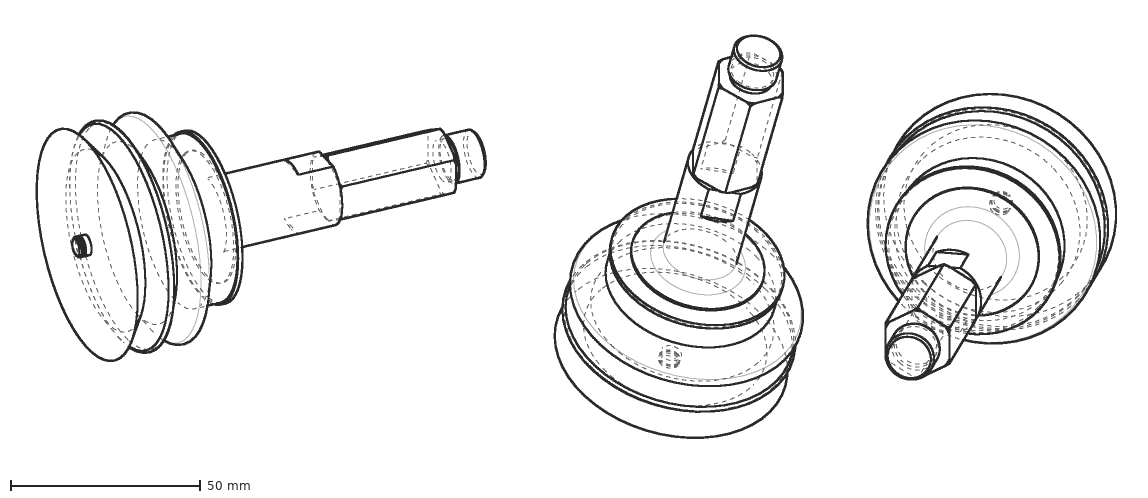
import cadquery as cq
import math


LIP_Y = 3.3
LOWER_NECK_Y = 8.7
LOWER_FOLD_Y = (12.6, 14.3)
UPPER_NECK_Y = 17.9
UPPER_FOLD_Y = (22.1, 24.6)
COLLAR_Y = 28.8
FLANGE_Y = 36.4
FLANGE_TOP_Y = 37.7
DISC_TOP_Y = 38.3
SHAFT_END_Y = 73.2
HEX_END_Y = 107.0
THREAD_Y = 109.1
STEM_END_Y = 117.0

CUP_RADIUS = 63.0 / 2
FOLD_EDGE_RADIUS = 30.8
NECK_RADIUS = 24.8
COLLAR_RADIUS = 46.0 / 2
FLANGE_RADIUS = 47.0 / 2
DISC_RADIUS = 36.0 / 2

PIN_RADIUS = 5.6 / 2
PIN_CHAMFER = 0.5
PIN_GROOVE_Y = (1.2, 1.6)
PIN_GROOVE_DEPTH = 0.1

SHAFT_RADIUS = 20.0 / 2
SHAFT_FILLET = 2.8
WRENCH_FLATS = 18.0
WRENCH_FLAT_LENGTH = 10.2
HEX_FLATS = 17.3
HEX_CHAMFER = 0.6
RELIEF_RADIUS = 11.5 / 2
THREAD_RADIUS = 13.1 / 2
THREAD_CHAMFER = 0.7


def cylinder(radius, start, end):
    """Cylinder about the Y axis between two positions."""
    plane = cq.Plane(origin=(0, start, 0), xDir=(1, 0, 0), normal=(0, 1, 0))
    return cq.Workplane(plane).circle(radius).extrude(end - start)


def add_fold(outline, fold):
    """Continue a radial outline around the rounded crest of one bellows fold."""
    start, end = fold
    crest = (CUP_RADIUS, (start + end) / 2)
    return outline.lineTo(FOLD_EDGE_RADIUS, start).threePointArc(crest, (FOLD_EDGE_RADIUS, end))


def make_cup():
    outline = cq.Workplane("XY").moveTo(0, LIP_Y).lineTo(CUP_RADIUS, LIP_Y)
    outline = outline.lineTo(NECK_RADIUS, LOWER_NECK_Y)
    outline = add_fold(outline, LOWER_FOLD_Y)
    outline = outline.lineTo(NECK_RADIUS, UPPER_NECK_Y)
    outline = add_fold(outline, UPPER_FOLD_Y)
    outline = (
        outline.lineTo(COLLAR_RADIUS, COLLAR_Y)
        .lineTo(COLLAR_RADIUS, FLANGE_Y)
        .lineTo(FLANGE_RADIUS, FLANGE_Y)
        .lineTo(FLANGE_RADIUS, FLANGE_TOP_Y)
        .lineTo(DISC_RADIUS, FLANGE_TOP_Y)
        .lineTo(DISC_RADIUS, DISC_TOP_Y)
        .lineTo(0, DISC_TOP_Y)
        .close()
    )
    return outline.revolve(360, (0, 0), (0, 1))


def make_pin():
    pin = cylinder(PIN_RADIUS, 0, COLLAR_Y).faces("<Y").chamfer(PIN_CHAMFER)
    ring = cylinder(PIN_RADIUS, *PIN_GROOVE_Y)
    core = cylinder(PIN_RADIUS - PIN_GROOVE_DEPTH, *PIN_GROOVE_Y)
    return pin.cut(ring.cut(core))


def make_shaft():
    """Round shaft flared into the disc, with two wrench flats facing +Z and -Z."""
    fillet_end = DISC_TOP_Y + SHAFT_FILLET
    arc_offset = SHAFT_FILLET * (1 - math.sqrt(0.5))
    shaft = (
        cq.Workplane("XY")
        .moveTo(0, COLLAR_Y)
        .lineTo(SHAFT_RADIUS + SHAFT_FILLET, COLLAR_Y)
        .lineTo(SHAFT_RADIUS + SHAFT_FILLET, DISC_TOP_Y)
        .threePointArc(
            (SHAFT_RADIUS + arc_offset, DISC_TOP_Y + arc_offset),
            (SHAFT_RADIUS, fillet_end),
        )
        .lineTo(SHAFT_RADIUS, SHAFT_END_Y)
        .lineTo(0, SHAFT_END_Y)
        .close()
        .revolve(360, (0, 0), (0, 1))
    )
    flat_start = SHAFT_END_Y - WRENCH_FLAT_LENGTH
    flat_depth = SHAFT_RADIUS - WRENCH_FLATS / 2
    for side in (1, -1):
        cutter = cq.Workplane("XY").box(2 * SHAFT_RADIUS, WRENCH_FLAT_LENGTH, flat_depth)
        center_z = side * (WRENCH_FLATS + flat_depth) / 2
        shaft = shaft.cut(cutter.translate((0, flat_start + WRENCH_FLAT_LENGTH / 2, center_z)))
    return shaft


def make_hexagon():
    """Hexagonal bar with flats facing +X and -X and its corners chamfered at both ends."""
    corner_radius = HEX_FLATS / math.sqrt(3)
    plane = cq.Plane(origin=(0, SHAFT_END_Y, 0), xDir=(0, 0, 1), normal=(0, 1, 0))
    bar = cq.Workplane(plane).polygon(6, 2 * corner_radius).extrude(HEX_END_Y - SHAFT_END_Y)
    envelope = cylinder(corner_radius, SHAFT_END_Y, HEX_END_Y).faces("<Y or >Y").chamfer(HEX_CHAMFER)
    return bar.intersect(envelope)


def make_thread_end():
    relief = cylinder(RELIEF_RADIUS, HEX_END_Y, THREAD_Y)
    thread = cylinder(THREAD_RADIUS, THREAD_Y, STEM_END_Y).faces(">Y").chamfer(THREAD_CHAMFER)
    return relief.union(thread)


result = make_cup().union(make_pin()).union(make_shaft()).union(make_hexagon()).union(make_thread_end())